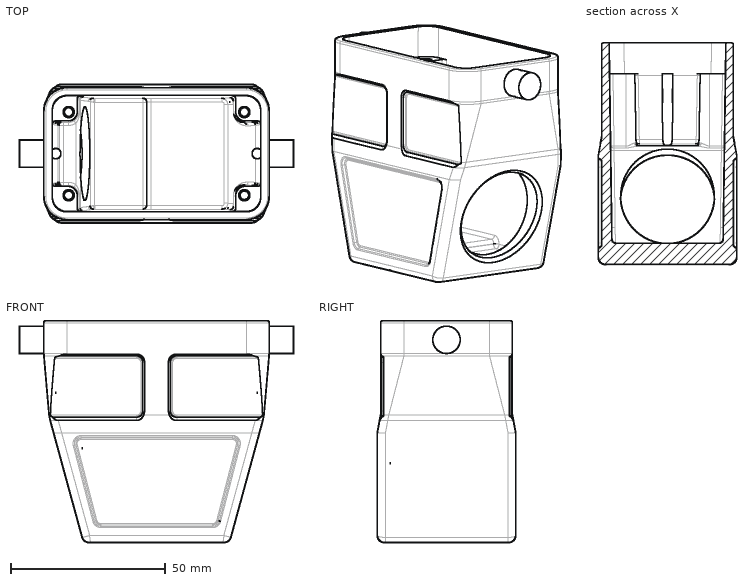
import cadquery as cq
import math

PICK_MARGIN = 0.1

HEIGHT = 72.0
BEND_Z = 61.4
BEND_FOOT_Z = 60.6
WAIST_Z = 41.5
WAIST_FOOT_Z = 39.7
SHOULDER_Z = 35.6
RIM_HALF_X = 36.6
BEND_FOOT_HALF_X = 36.57
RIM_HALF_Y = 21.4
WAIST_HALF_X = 34.9
WAIST_FOOT_HALF_X = 34.55
BODY_HALF_Y = 22.5
BOTTOM_HALF_X = 23.7
RIM_CORNER = 7.5
BODY_CORNER = 2.6
BOTTOM_FILLET = 2.4
RIM_FILLET = 0.6

END_SLOPE = (WAIST_FOOT_HALF_X - BOTTOM_HALF_X) / WAIST_FOOT_Z
END_ANGLE = math.degrees(math.atan(END_SLOPE))

WALL_X = 2.8
WALL_Y = 2.5
DRAFT_SLOPE_Y = 0.014
CAVITY_CORNER = 4.7
CAVITY_LOW_CORNER = 2.0
FLOOR_FILLET = 1.3
HIGH_FLOOR_FILLET = 1.2
CAVITY_TOP_X = RIM_HALF_X - WALL_X
CAVITY_TOP_Y = RIM_HALF_Y - WALL_Y
CAVITY_WAIST_Z = (WAIST_Z + WAIST_FOOT_Z) / 2
CAVITY_WAIST_X = BOTTOM_HALF_X + END_SLOPE * CAVITY_WAIST_Z - WALL_X

LOW_FLOOR_Z = 4.3
HIGH_FLOOR_Z = 7.0
FLOOR_STEP_X = -3.2
LEDGE_Z = 38.5
LEDGE_EDGE_X = -24.9
LEDGE_FOOT_X = -21.4
LEDGE_FILLET = 1.5

POST_TOP_Z = 62.0
POST_FACE_X = 25.7
POST_FACE_Y = 10.6
POST_CORNER = 3.0
POST_DRAFT = 1.0
POST_ROOT_FILLET = 1.0
POST_END_REACH = 4.0
POST_SIDE_REACH = 3.0
SCREW_X = 28.5
SCREW_Y = 13.5
SCREW_RADIUS = 1.4
SCREW_CHAMFER = 0.4
SCREW_DEPTH = 12.0
GUIDE_RADIUS = 1.7
GUIDE_TIP_X = 31.0

PIN_SPAN = 89.0
PIN_RADIUS = 4.45
PIN_Z = 65.8

ENTRY_Z = 20.5
ENTRY_RADIUS = 15.2
ENTRY_CHAMFER = 1.2
ENTRY_REACH = 12.0

RECESS_DEPTH = 1.1
RECESS_TAPER = 35.0
RECESS_CORNER = 1.6
RECESS_FILLET = 0.5
RECESS_RIM_FILLET = 0.5
WINDOW_INNER_X = 4.9
WINDOW_TOP_Z = 60.1
WINDOW_BOTTOM_Z = 41.2
WINDOW_RIM_DEPTH = 0.4
WINDOW_RIM_TAPER = 55.0
PANEL_TOP_Z = 33.8
PANEL_BOTTOM_Z = 6.0
PANEL_TOP_HALF_X = 26.6
PANEL_BOTTOM_HALF_X = 19.4


def loft_levels(levels):
    """Stack of ruled lofts between rounded rectangles given as (z, half x, half y, corner radius)."""
    stages = []
    for pair in zip(levels, levels[1:]):
        sections = []
        for z, half_x, half_y, radius in pair:
            section = cq.Sketch().rect(2 * half_x, 2 * half_y).vertices().fillet(radius)
            sections.append(section.moved(cq.Location(cq.Vector(0, 0, z))))
        stages.append(cq.Workplane("XY").placeSketch(*sections).loft(ruled=True))
    solid = stages[0]
    for stage in stages[1:]:
        solid = solid.union(stage)
    return solid


def make_shell():
    """Solid outer form with rounded bottom and rim edges."""
    shoulder_half_x = BOTTOM_HALF_X + END_SLOPE * SHOULDER_Z
    shoulder_slope_y = (BODY_HALF_Y - RIM_HALF_Y) / (WAIST_Z - SHOULDER_Z)
    waist_foot_half_y = RIM_HALF_Y + shoulder_slope_y * (WAIST_Z - WAIST_FOOT_Z)
    shell = loft_levels([
        (0, BOTTOM_HALF_X, BODY_HALF_Y, BODY_CORNER),
        (SHOULDER_Z, shoulder_half_x, BODY_HALF_Y, BODY_CORNER),
        (WAIST_FOOT_Z, WAIST_FOOT_HALF_X, waist_foot_half_y, BODY_CORNER),
        (WAIST_Z, WAIST_HALF_X, RIM_HALF_Y, BODY_CORNER),
        (BEND_FOOT_Z, BEND_FOOT_HALF_X, RIM_HALF_Y, RIM_CORNER),
        (BEND_Z, RIM_HALF_X, RIM_HALF_Y, RIM_CORNER),
        (HEIGHT, RIM_HALF_X, RIM_HALF_Y, RIM_CORNER),
    ])
    shell = shell.faces("<Z").edges().fillet(BOTTOM_FILLET)
    return shell.faces(">Z").edges().fillet(RIM_FILLET)


def make_floor_block():
    """Material under the cavity: thick entry wall with a ledge on top, low floor, step and high floor."""
    far_x = RIM_HALF_X
    wall_top_z = LEDGE_Z + LEDGE_FILLET
    wall_x = END_SLOPE * (CAVITY_WAIST_Z - wall_top_z) - CAVITY_WAIST_X
    block = (
        cq.Workplane("XZ")
        .moveTo(-far_x, 0)
        .lineTo(-far_x, wall_top_z)
        .lineTo(wall_x, wall_top_z)
        .radiusArc((wall_x + LEDGE_FILLET, LEDGE_Z), -LEDGE_FILLET)
        .lineTo(LEDGE_EDGE_X, LEDGE_Z)
        .lineTo(LEDGE_FOOT_X, LOW_FLOOR_Z)
        .lineTo(FLOOR_STEP_X, LOW_FLOOR_Z)
        .lineTo(FLOOR_STEP_X, HIGH_FLOOR_Z)
        .lineTo(far_x, HIGH_FLOOR_Z)
        .lineTo(far_x, 0)
        .close()
        .extrude(BODY_HALF_Y, both=True)
    )
    ledge_edge = cq.selectors.NearestToPointSelector((LEDGE_EDGE_X, 0, LEDGE_Z))
    step_edge = cq.selectors.NearestToPointSelector((FLOOR_STEP_X, 0, HIGH_FLOOR_Z))
    block = block.edges(ledge_edge).fillet(LEDGE_FILLET)
    return block.edges(step_edge).fillet(FLOOR_FILLET)


def make_cavity():
    """Open space inside the shell, before the posts and guide ribs stand in it."""
    floor_x = CAVITY_WAIST_X - END_SLOPE * (CAVITY_WAIST_Z - LOW_FLOOR_Z)
    floor_y = CAVITY_TOP_Y - DRAFT_SLOPE_Y * (HEIGHT - LOW_FLOOR_Z)
    waist_y = CAVITY_TOP_Y - DRAFT_SLOPE_Y * (HEIGHT - CAVITY_WAIST_Z)
    bend_y = CAVITY_TOP_Y - DRAFT_SLOPE_Y * (HEIGHT - BEND_Z)
    cavity = loft_levels([
        (LOW_FLOOR_Z, floor_x, floor_y, CAVITY_LOW_CORNER),
        (CAVITY_WAIST_Z, CAVITY_WAIST_X, waist_y, CAVITY_LOW_CORNER),
        (BEND_Z, CAVITY_TOP_X, bend_y, CAVITY_CORNER),
        (HEIGHT, CAVITY_TOP_X, CAVITY_TOP_Y, CAVITY_CORNER),
    ])
    cavity = cavity.cut(make_floor_block())
    cavity = cavity.faces("<Z").edges().fillet(FLOOR_FILLET)
    high_floor = cq.selectors.NearestToPointSelector((CAVITY_TOP_X / 2, 0, HIGH_FLOOR_Z))
    return cavity.faces(high_floor).edges().fillet(HIGH_FLOOR_FILLET)


def make_post(side_x, side_y):
    """Corner post with a rounded inner corner, widening downwards; its outer corners lie in the wall."""
    size_x = RIM_HALF_X + POST_CORNER - POST_FACE_X
    size_y = RIM_HALF_Y + POST_CORNER - POST_FACE_Y
    center_x = side_x * (POST_FACE_X + size_x / 2)
    center_y = side_y * (POST_FACE_Y + size_y / 2)
    profile = cq.Sketch().rect(size_x, size_y).vertices().fillet(POST_CORNER)
    return (
        cq.Workplane("XY", origin=(center_x, center_y, POST_TOP_Z))
        .placeSketch(profile)
        .extrude(-POST_TOP_Z, taper=-POST_DRAFT)
    )


def make_guide_rib(side_x):
    """Round-nosed vertical rib in the middle of an end wall."""
    axis_x = side_x * (GUIDE_TIP_X + GUIDE_RADIUS)
    return cq.Workplane("XY").center(axis_x, 0).circle(GUIDE_RADIUS).extrude(POST_TOP_Z)


def make_screw_holes():
    """Blind screw holes with a chamfered mouth in the four posts."""
    mouth_radius = SCREW_RADIUS + SCREW_CHAMFER
    hole = (
        cq.Workplane("XZ")
        .polyline([
            (0, POST_TOP_Z),
            (mouth_radius, POST_TOP_Z),
            (SCREW_RADIUS, POST_TOP_Z - SCREW_CHAMFER),
            (SCREW_RADIUS, POST_TOP_Z - SCREW_DEPTH),
            (0, POST_TOP_Z - SCREW_DEPTH),
        ])
        .close()
        .revolve(360, (0, 0), (0, 1))
    )
    points = [(x, y) for x in (-SCREW_X, SCREW_X) for y in (-SCREW_Y, SCREW_Y)]
    return cq.Workplane("XY").pushPoints(points).eachpoint(lambda place: hole.val().moved(place))


def make_pin(side_x):
    """Locking pin standing out from an end wall."""
    wall_middle_x = RIM_HALF_X - WALL_X / 2
    return (
        cq.Workplane("YZ", origin=(side_x * wall_middle_x, 0, PIN_Z))
        .circle(PIN_RADIUS)
        .extrude(side_x * (PIN_SPAN / 2 - wall_middle_x))
    )


def make_entry():
    """Chamfered cable entry through the -X wall, square to its outer face."""
    mouth_x = -(BOTTOM_HALF_X + END_SLOPE * ENTRY_Z)
    mouth_radius = ENTRY_RADIUS + ENTRY_CHAMFER
    entry = (
        cq.Workplane("XY")
        .polyline([
            (-ENTRY_CHAMFER, 0),
            (-ENTRY_CHAMFER, mouth_radius + ENTRY_CHAMFER),
            (ENTRY_CHAMFER, ENTRY_RADIUS),
            (ENTRY_REACH, ENTRY_RADIUS),
            (ENTRY_REACH, 0),
        ])
        .close()
        .revolve(360, (0, 0), (1, 0))
    )
    return entry.rotate((0, 0, 0), (0, 1, 0), -END_ANGLE).translate((mouth_x, 0, ENTRY_Z))


def make_recess(points, face_y):
    """Recess cutter for the -Y side with flared walls; points outline its floor in X and Z."""
    floor_y = -(face_y - RECESS_DEPTH)
    outline = cq.Sketch().polygon(points + points[:1]).vertices().fillet(RECESS_CORNER)
    cutter = cq.Workplane("XZ", origin=(0, floor_y, 0)).placeSketch(outline)
    cutter = cutter.extrude(2 * RECESS_DEPTH, taper=-RECESS_TAPER)
    return cutter.faces(">Y").edges().fillet(RECESS_FILLET)


def window_outline(margin):
    """Corner points in X and Z of the +X window floor grown by a margin, running out past the end wall."""
    beyond_x = RIM_HALF_X + RIM_CORNER
    inner_x = WINDOW_INNER_X - margin
    bottom_z = WINDOW_BOTTOM_Z - margin
    top_z = WINDOW_TOP_Z + margin
    return [(inner_x, bottom_z), (beyond_x, bottom_z), (beyond_x, top_z), (inner_x, top_z)]


def make_window_rim():
    """Wider flare that eases the outer edge of the +X window on the -Y side."""
    margin = (RECESS_DEPTH - WINDOW_RIM_DEPTH) * math.tan(math.radians(RECESS_TAPER))
    points = window_outline(margin)
    outline = cq.Sketch().polygon(points + points[:1]).vertices().fillet(RECESS_CORNER + margin)
    plane_y = -(RIM_HALF_Y - WINDOW_RIM_DEPTH)
    rim = cq.Workplane("XZ", origin=(0, plane_y, 0)).placeSketch(outline)
    return rim.extrude(RECESS_DEPTH, taper=-WINDOW_RIM_TAPER)


def cut_recesses(shell):
    """Cut two windows open towards the ends and one panel below them, on both long sides."""
    window = make_recess(window_outline(0), RIM_HALF_Y)
    window_rim = make_window_rim()
    panel = make_recess(
        [
            (-PANEL_BOTTOM_HALF_X, PANEL_BOTTOM_Z),
            (PANEL_BOTTOM_HALF_X, PANEL_BOTTOM_Z),
            (PANEL_TOP_HALF_X, PANEL_TOP_Z),
            (-PANEL_TOP_HALF_X, PANEL_TOP_Z),
        ],
        BODY_HALF_Y,
    )
    near_side = [panel, window, window.mirror("YZ"), window_rim, window_rim.mirror("YZ")]
    for cutter in near_side:
        shell = shell.cut(cutter).cut(cutter.mirror("XZ"))
    return shell


def round_panel_rims(shell):
    """Ease the outer edges of the two panel recesses."""
    for side_y in (-1, 1):
        face_y = side_y * BODY_HALF_Y
        panel_zone = cq.selectors.BoxSelector(
            (-PANEL_TOP_HALF_X, face_y - PICK_MARGIN, PANEL_BOTTOM_Z - RECESS_DEPTH),
            (PANEL_TOP_HALF_X, face_y + PICK_MARGIN, PANEL_TOP_Z + RECESS_DEPTH),
        )
        shell = shell.edges(panel_zone).fillet(RECESS_RIM_FILLET)
    return shell


def box_around(x, y, reach):
    """Selector for edges near the vertical line at x, y between the floors and the post tops."""
    return cq.selectors.BoxSelector(
        (x - reach, y - reach, HIGH_FLOOR_Z + FLOOR_FILLET),
        (x + reach, y + reach, POST_TOP_Z - PICK_MARGIN),
    )


def fillet_post_roots(cavity):
    """Blend the posts into the end walls, the ledge and the long walls."""
    for side_x in (-1, 1):
        for side_y in (-1, 1):
            end_root = box_around(side_x * CAVITY_WAIST_X, side_y * POST_FACE_Y, POST_END_REACH)
            side_root = box_around(side_x * POST_FACE_X, side_y * CAVITY_TOP_Y, POST_SIDE_REACH)
            cavity = cavity.edges(end_root + side_root).fillet(POST_ROOT_FILLET)
    return cavity


def make_hood():
    """Complete hood: shell, recesses, hollow inside, entry and pins."""
    cavity = make_cavity()
    for side_x in (-1, 1):
        for side_y in (-1, 1):
            cavity = cavity.cut(make_post(side_x, side_y))
    cavity = fillet_post_roots(cavity)
    for side_x in (-1, 1):
        cavity = cavity.cut(make_guide_rib(side_x))
    hood = round_panel_rims(cut_recesses(make_shell()))
    hood = hood.cut(cavity).cut(make_screw_holes()).cut(make_entry())
    return hood.union(make_pin(-1)).union(make_pin(1))


result = make_hood()